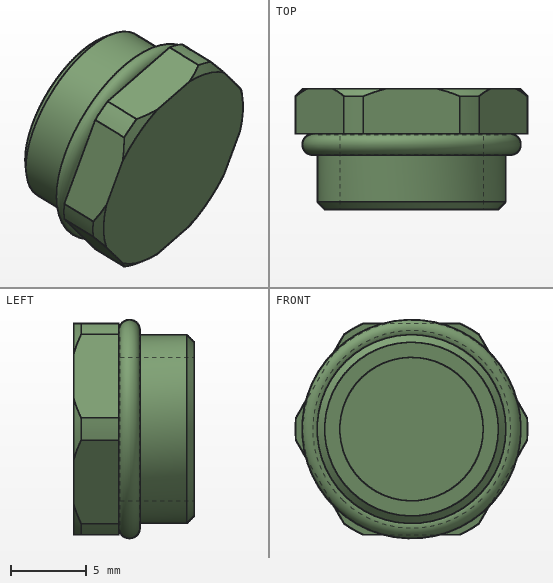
import cadquery as cq
import math

corner_diameter = 15.39
across_flats = 14.0
head_thickness = 3.0
body_diameter = 12.5
body_length = 5.0
bore_diameter = 9.5
bore_depth = 5.0
chamfer = 0.5
ring_outer_diameter = 14.5
ring_section_diameter = 1.4


def cylinder(diameter, start_y, length):
    """Solid cylinder around the Y axis, growing from start_y toward +Y."""
    circle = cq.Workplane("XZ", origin=(0, start_y, 0)).circle(diameter / 2)
    return circle.extrude(-length)


def make_head():
    """Hexagon with flats on +Z and -Z, its corners turned to a chamfered cylinder."""
    hexagon = cq.Workplane("XZ").polygon(6, across_flats / math.cos(math.pi / 6))
    turned_blank = cylinder(corner_diameter, 0, head_thickness).faces(">Y").chamfer(chamfer)
    return hexagon.extrude(-head_thickness).intersect(turned_blank)


def make_body():
    """Round shank with a chamfered open end."""
    return cylinder(body_diameter, -body_length, body_length).faces("<Y").chamfer(chamfer)


def make_seal_ring():
    """Round-section ring seated on the shank and touching the head."""
    section_radius = ring_section_diameter / 2
    section_center_x = ring_outer_diameter / 2 - section_radius
    section = cq.Workplane("XY").center(section_center_x, -section_radius).circle(section_radius)
    return section.revolve(360, (-section_center_x, 0, 0), (-section_center_x, 1, 0))


bore = cylinder(bore_diameter, -body_length, bore_depth)
result = make_body().union(make_seal_ring()).union(make_head()).cut(bore)